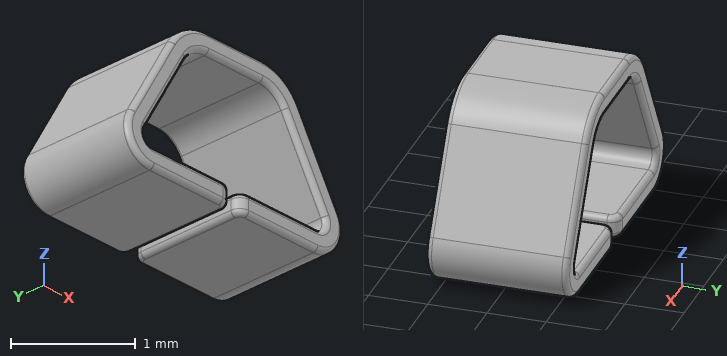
import cadquery as cq
import math

WIDTH = 2.5
DEPTH = 1.2
HEIGHT = 1.5
WALL = 0.2
GAP = 0.1
SIDE_ANGLE = math.radians(60)
TOP_RADIUS = 0.5
BOTTOM_RADIUS = 0.3
END_CORNER_RADIUS = 0.1
EDGE_ROUND = 0.05

BOTTOM_CENTER_X = WIDTH / 2 - BOTTOM_RADIUS
BOTTOM_CENTER_Z = BOTTOM_RADIUS
TOP_CENTER_Z = HEIGHT - TOP_RADIUS
TOP_CENTER_X = BOTTOM_CENTER_X - (
    (TOP_CENTER_Z - BOTTOM_CENTER_Z) * math.cos(SIDE_ANGLE) + TOP_RADIUS - BOTTOM_RADIUS
) / math.sin(SIDE_ANGLE)


def bend_point(center_x, center_z, radius, angle):
    """Point on a bend, at an angle measured from +X toward +Z."""
    return (center_x + radius * math.cos(angle), center_z + radius * math.sin(angle))


def mirrored(point):
    """Matching point on the left half."""
    return (-point[0], point[1])


def half_outline(inset):
    """Points of the right half from the top flat to the bottom flat, inset from the outer skin."""
    top_r = TOP_RADIUS - inset
    bottom_r = BOTTOM_RADIUS - inset
    up = math.pi / 2
    side_normal = up - SIDE_ANGLE
    top_angles = (up, (up + side_normal) / 2, side_normal)
    bottom_angles = (side_normal, (side_normal - up) / 2, -up)
    top = [bend_point(TOP_CENTER_X, TOP_CENTER_Z, top_r, a) for a in top_angles]
    bottom = [bend_point(BOTTOM_CENTER_X, BOTTOM_CENTER_Z, bottom_r, a) for a in bottom_angles]
    return top + bottom


def trace_bends(sketch, points):
    """Draw a line to the first bend, then bend, sloped side, bend."""
    start_a, mid_a, end_a, start_b, mid_b, end_b = points
    sketch = sketch.lineTo(*start_a).threePointArc(mid_a, end_a)
    return sketch.lineTo(*start_b).threePointArc(mid_b, end_b)


def strip_profile():
    """Closed outline of the bent strip in the XZ plane."""
    outer = half_outline(0)
    inner = half_outline(WALL)
    end_x = GAP / 2
    sketch = cq.Workplane("XZ", origin=(0, DEPTH / 2, 0)).moveTo(end_x, 0)
    sketch = trace_bends(sketch, outer[::-1])
    sketch = trace_bends(sketch, [mirrored(p) for p in outer])
    sketch = sketch.lineTo(-end_x, 0).lineTo(-end_x, WALL)
    sketch = trace_bends(sketch, [mirrored(p) for p in inner[::-1]])
    sketch = trace_bends(sketch, inner)
    return sketch.lineTo(end_x, WALL).close()


def round_strip_ends(body):
    """Round the upright corners of the two strip ends."""
    return body.edges("|Z").fillet(END_CORNER_RADIUS)


def round_rims(body):
    """Round the rims of the front and back faces; the rounding runs on around the strip ends."""
    return body.faces("<Y or >Y").edges("not |Z").fillet(EDGE_ROUND)


result = round_rims(round_strip_ends(strip_profile().extrude(DEPTH)))